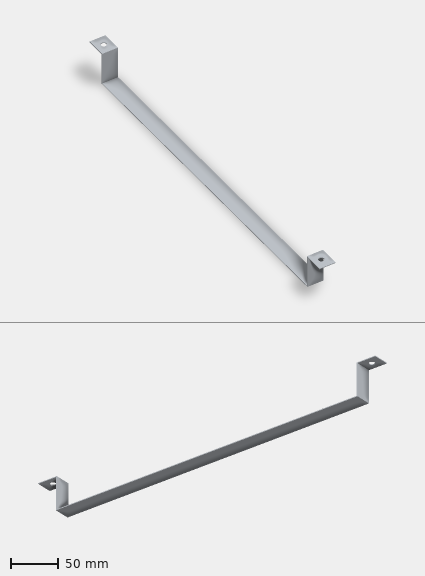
import cadquery as cq

length = 452.0
width = 20.0
height = 41.0

thickness = 1.0
tab_length = 25.0
hole_diameter = 7.0
hole_end_distance = 12.0

half_length = length / 2
leg_inner_x = half_length - tab_length
leg_outer_x = leg_inner_x + thickness


def strap_block(half_span, bottom, top):
    """Block centred on X and Y, spanning the given heights."""
    return (
        cq.Workplane("XY")
        .workplane(offset=bottom)
        .rect(2 * half_span, width)
        .extrude(top - bottom)
    )


def bent_strap():
    """Hat-shaped strip with sharp bends: two end tabs, two legs and a long base."""
    tabs = strap_block(half_length, height - thickness, height)
    channel = strap_block(leg_outer_x, 0, height)
    cavity = strap_block(leg_inner_x, thickness, height)
    return tabs.union(channel).cut(cavity)


def tab_holes():
    """Cutters for the mounting hole in each end tab."""
    hole_x = half_length - hole_end_distance
    return (
        cq.Workplane("XY")
        .workplane(offset=height - thickness)
        .pushPoints([(-hole_x, 0), (hole_x, 0)])
        .circle(hole_diameter / 2)
        .extrude(thickness)
    )


result = bent_strap().cut(tab_holes())